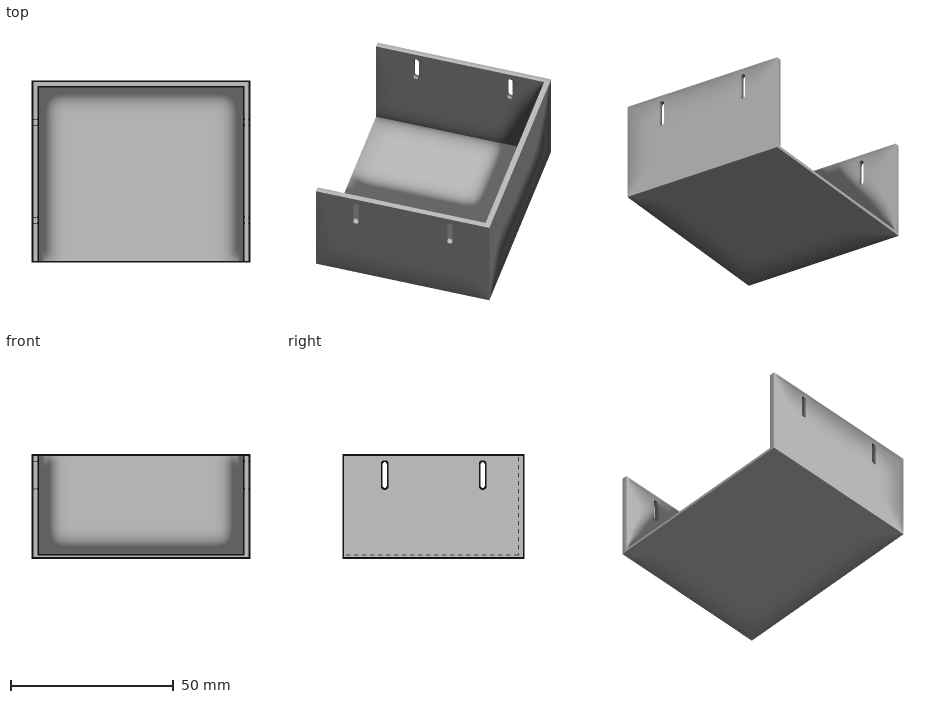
import cadquery as cq

width = 66.7
depth = 55.55
height = 31.75

wall = 1.75
floor = 1.0

slot_width = 1.8
slot_length = 8.5
slot_top_margin = 2.0
slot_spacing = 30.1
rear_slot_inset = 12.7

rear_slot_y = depth / 2 - rear_slot_inset
slot_positions_y = (rear_slot_y, rear_slot_y - slot_spacing)
slot_center_z = height - slot_top_margin - slot_length / 2


def tray():
    """Box open at the top and at the front (-Y), centred on X and Y."""
    outer = cq.Workplane("XY").box(width, depth, height, centered=(True, True, False))
    cavity = (
        cq.Workplane("XY")
        .box(width - 2 * wall, depth - wall, height - floor, centered=(True, True, False))
        .translate((0, -wall / 2, floor))
    )
    return outer.cut(cavity)


def side_slots():
    """Round-ended slots running across the full width of the tray."""
    return (
        cq.Workplane("YZ")
        .pushPoints([(y, slot_center_z) for y in slot_positions_y])
        .slot2D(slot_length, slot_width, angle=90)
        .extrude(width / 2, both=True)
    )


result = tray().cut(side_slots())